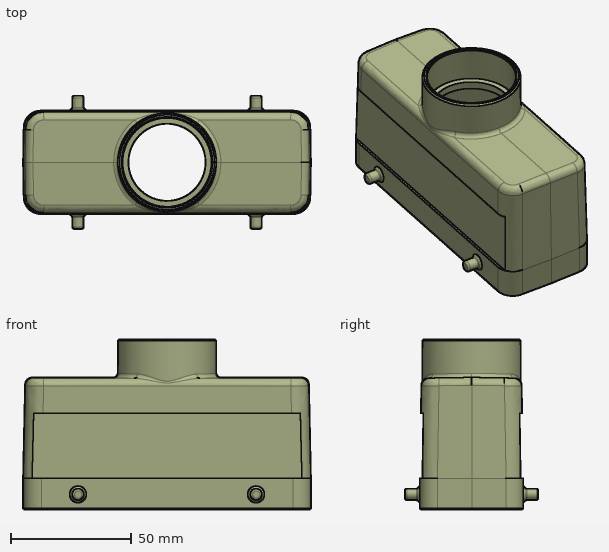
import cadquery as cq
import math

length = 120.0
width = 43.2
end_slope = 1.0
corner_radius = 7.5
skirt_height = 13.1
roof_ridge = 55.1
roof_slope = 1.0
top_length = 118.2
top_width = 41.8
roof_fall = top_width / 2 * math.tan(math.radians(roof_slope))
roof_edge_radius = 3.2
bottom_chamfer = 0.6

wall = 3.0
cavity_top = 52.8

panel_top = 40.1
panel_width_bottom = 41.0
panel_width_top = 40.2

total_height = 71.0
collar_diameter = 41.0
collar_bore = 37.0
cable_hole = 32.0
bore_floor = 56.2
collar_rim_chamfer = 0.7
bore_rim_chamfer = 0.5
collar_foot_radius = 1.8

pin_span = 55.5
pin_x = 37.1
pin_z = 6.4
pin_diameter = 4.8
pin_tip_diameter = 3.0
pin_foot_diameter = 7.0
pin_neck_radius = 0.6

tolerance = 0.01


def plan_outline(size_x, size_y):
    """Corners of a rectangle whose two ends rise to a very blunt point in the middle."""
    side_x = size_x / 2 - size_y / 2 * math.tan(math.radians(end_slope))
    right_end = [(side_x, -size_y / 2), (size_x / 2, 0), (side_x, size_y / 2)]
    left_end = [(-x, -y) for x, y in right_end]
    return right_end + left_end


def is_upright_corner(edge):
    """True for the four upright corners, but not for the blunt points of the ends."""
    box = edge.BoundingBox()
    return box.zmax - box.zmin > tolerance and abs(edge.Center().y) > tolerance


def hood_block(bottom, bottom_size, top, top_size, radius):
    """Block lofted between two levels, with rounded upright corners."""
    block = (
        cq.Workplane("XY", origin=(0, 0, bottom))
        .polyline(plan_outline(*bottom_size))
        .close()
        .workplane(offset=top - bottom)
        .polyline(plan_outline(*top_size))
        .close()
        .loft(ruled=True)
    )
    corners = [edge for edge in block.edges().vals() if is_upright_corner(edge)]
    return block.newObject(corners).fillet(radius)


def cylinder(diameter, bottom, top):
    return cq.Workplane("XY", origin=(0, 0, bottom)).circle(diameter / 2).extrude(top - bottom)


def make_skirt():
    size = (length, width)
    skirt = hood_block(0, size, skirt_height, size, corner_radius)
    return skirt.faces("<Z").edges().chamfer(bottom_chamfer)


def make_roof_cut(side):
    """Region above the roof half that falls from the ridge to one long side."""
    far = width
    drop = far * math.tan(math.radians(roof_slope))
    outline = [
        (0, roof_ridge),
        (side * far, roof_ridge - drop),
        (side * far, total_height),
        (0, total_height),
    ]
    return cq.Workplane("YZ").polyline(outline).close().extrude(length, both=True)


def is_roof_border(edge):
    """True for the edges around the roof, but not for the ridge along its middle."""
    box = edge.BoundingBox()
    near_roof = box.zmin > roof_ridge - 2 * roof_fall
    return near_roof and box.ymax - box.ymin + abs(edge.Center().y) > tolerance


def make_body():
    body = hood_block(
        skirt_height, (length, width), roof_ridge, (top_length, top_width), corner_radius
    )
    for side in (-1, 1):
        body = body.cut(make_roof_cut(side))
    border = [edge for edge in body.edges().vals() if is_roof_border(edge)]
    return body.newObject(border).fillet(roof_edge_radius)


def make_panel_cut(side):
    """Wedge that sinks one long side (side = -1 or 1) back to its flat panel."""
    outline = [
        (side * panel_width_bottom / 2, skirt_height),
        (side * width, skirt_height),
        (side * width, panel_top),
        (side * panel_width_top / 2, panel_top),
    ]
    return cq.Workplane("YZ").polyline(outline).close().extrude(length, both=True)


def make_cavity():
    draft_x = length - top_length
    draft_y = width - top_width
    open_size = (length - 2 * wall, width - 2 * wall)
    roof_size = (open_size[0] - draft_x, open_size[1] - draft_y)
    return hood_block(0, open_size, cavity_top, roof_size, corner_radius - wall)


def make_pin(side):
    """Locking pin with a rounded tip and a conical 45 degree foot on one long side."""
    foot_angle = 45
    shank = pin_diameter / 2
    tip_radius = (pin_diameter - pin_tip_diameter) / 2
    flare = (pin_foot_diameter - pin_diameter) / 2
    wall_face = width / 2
    neck = wall_face + flare
    blend_reach = pin_neck_radius * math.tan(math.radians(foot_angle / 2))
    root = wall_face - wall / 2
    tip = pin_span / 2
    bend = math.cos(math.radians(foot_angle))
    half_profile = (
        cq.Workplane("XY")
        .moveTo(0, root)
        .lineTo(shank + flare, root)
        .lineTo(shank + flare, wall_face)
        .lineTo(shank + blend_reach * bend, neck - blend_reach * bend)
        .tangentArcPoint((shank, neck + blend_reach), relative=False)
        .lineTo(shank, tip - tip_radius)
        .threePointArc(
            (shank - tip_radius * (1 - bend), tip - tip_radius * (1 - bend)),
            (shank - tip_radius, tip),
        )
        .lineTo(0, tip)
        .close()
    )
    pin = half_profile.revolve(360, (0, 0), (0, 1))
    if side < 0:
        pin = pin.mirror("XZ")
    return pin


def is_collar_foot(edge):
    """True for the edges where the collar wall leaves the roof."""
    on_wall = all(
        abs(math.hypot(v.X, v.Y) - collar_diameter / 2) < tolerance for v in edge.Vertices()
    )
    return on_wall and edge.geomType() != "LINE" and edge.Center().z < bore_floor


hood = make_skirt().union(make_body())

hood = hood.union(cylinder(collar_diameter, cavity_top - roof_edge_radius, total_height))
foot_edges = [edge for edge in hood.edges().vals() if is_collar_foot(edge)]
hood = hood.newObject(foot_edges).fillet(collar_foot_radius)
hood = hood.faces(">Z").edges().chamfer(collar_rim_chamfer)

for side in (-1, 1):
    hood = hood.cut(make_panel_cut(side))
    for x in (-pin_x, pin_x):
        hood = hood.union(make_pin(side).translate((x, 0, pin_z)))

hood = hood.cut(make_cavity())
hood = hood.cut(cylinder(cable_hole, 0, total_height))
hood = hood.cut(cylinder(collar_bore, bore_floor, total_height))
bore_mouth = hood.faces(">Z").edges("%CIRCLE").edges(cq.selectors.RadiusNthSelector(0))
hood = bore_mouth.chamfer(bore_rim_chamfer)

result = hood